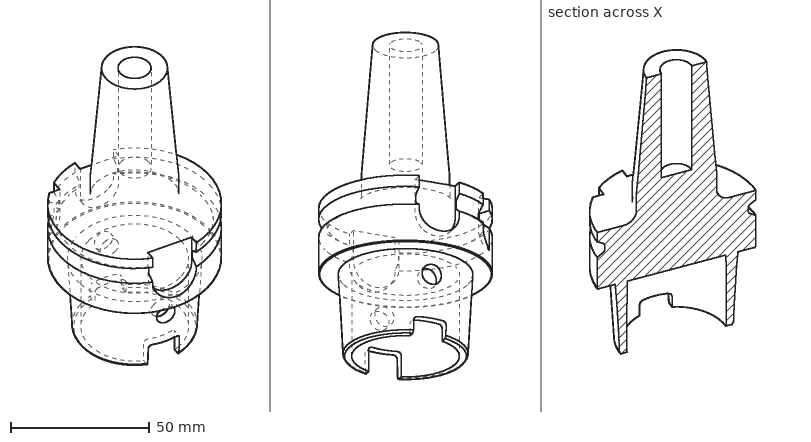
import cadquery as cq
import math

total_height = 122.0
flange_bottom = 32.1
flange_top = 58.0
neck_cone_bottom = 71.2
groove_levels = (46.6, 48.5, 51.7, 53.5)

flange_radius = 31.5
groove_radius = 28.5
groove_root_fillet = 1.0
nose_tip_radius = 12.0
neck_radius = 16.0
neck_fillet = 5.0
shank_top_radius = 24.4
shank_end_radius = 22.7
shank_chamfer_height = 1.0
shank_chamfer_width = 0.6
flange_edge_chamfer = 0.4

tool_bore_radius = 6.0
tool_bore_depth = 47.0
shank_cavity_radius = 19.5
shank_cavity_depth = flange_bottom
cross_hole_radius = 3.8
cross_hole_height = 23.0

keyway_floor = 26.6
keyway_bottom = 37.2
left_keyway_radius = 7.9
right_keyway_radius = 9.0

notch_floor = 20.0
notch_radius = left_keyway_radius
notch_arc_height = keyway_bottom + notch_radius

drive_slot_width = 12.8
drive_slot_fillet = 1.5
left_drive_slot_height = 6.2
right_drive_slot_height = 9.9


def is_groove_root(edge):
    return math.isclose(edge.radius(), groove_radius, abs_tol=1.22e-06)


def turned_body():
    """Revolve the shank, grooved flange, neck and tapered nose."""
    lower_rim, groove_low, groove_high, upper_rim = groove_levels
    chamfer_radius = shank_end_radius - shank_chamfer_width
    profile = (
        cq.Workplane("XZ")
        .lineTo(chamfer_radius, 0)
        .lineTo(shank_end_radius, shank_chamfer_height)
        .lineTo(shank_top_radius, flange_bottom)
        .lineTo(flange_radius - flange_edge_chamfer, flange_bottom)
        .lineTo(flange_radius, flange_bottom + flange_edge_chamfer)
        .lineTo(flange_radius, lower_rim)
        .lineTo(groove_radius, groove_low)
        .lineTo(groove_radius, groove_high)
        .lineTo(flange_radius, upper_rim)
        .lineTo(flange_radius, flange_top)
        .lineTo(neck_radius + neck_fillet, flange_top)
        .radiusArc((neck_radius, flange_top + neck_fillet), neck_fillet)
        .lineTo(neck_radius, neck_cone_bottom)
        .lineTo(nose_tip_radius, total_height)
        .lineTo(0, total_height)
        .close()
    )
    turned = profile.revolve(360, (0, 0, 0), (0, 1, 0))
    groove_roots = turned.edges("%CIRCLE").filter(is_groove_root)
    return groove_roots.fillet(groove_root_fillet)


def vertical_cylinder(radius, bottom, height):
    return cq.Workplane("XY").workplane(offset=bottom).circle(radius).extrude(height)


def round_ended_cutter(side, floor, center_y, radius, arc_height):
    """Slot along X, open at the flange top, with a half-round lower end.

    side is -1 or +1 for the side of the axis the slot opens towards.
    """
    return (
        cq.Workplane("YZ", origin=(side * floor, center_y, 0))
        .moveTo(-radius, flange_top)
        .lineTo(-radius, arc_height)
        .threePointArc((0, arc_height - radius), (radius, arc_height))
        .lineTo(radius, flange_top)
        .close()
        .extrude(side * flange_radius)
    )


def drive_slot_cutter(side, height):
    """Slot through one side of the shank wall, rounded in its upper corners."""
    return (
        cq.Workplane("XY")
        .box(flange_radius, drive_slot_width, height, centered=(True, True, False))
        .edges("|X and >Z")
        .fillet(drive_slot_fillet)
        .translate((side * flange_radius / 2, 0, 0))
    )


body = turned_body()

body = body.cut(vertical_cylinder(tool_bore_radius, total_height - tool_bore_depth, tool_bore_depth))
body = body.cut(vertical_cylinder(shank_cavity_radius, 0, shank_cavity_depth))

cross_hole = (
    cq.Workplane("YZ")
    .center(0, cross_hole_height)
    .circle(cross_hole_radius)
    .extrude(flange_radius, both=True)
)
body = body.cut(cross_hole)

for side, keyway_radius, drive_slot_height in (
    (-1, left_keyway_radius, left_drive_slot_height),
    (1, right_keyway_radius, right_drive_slot_height),
):
    arc_height = keyway_bottom + keyway_radius
    body = body.cut(round_ended_cutter(side, keyway_floor, 0, keyway_radius, arc_height))
    body = body.cut(drive_slot_cutter(side, drive_slot_height))

notch_center_y = -(notch_floor + notch_radius)
body = body.cut(round_ended_cutter(-1, notch_floor, notch_center_y, notch_radius, notch_arc_height))

result = body